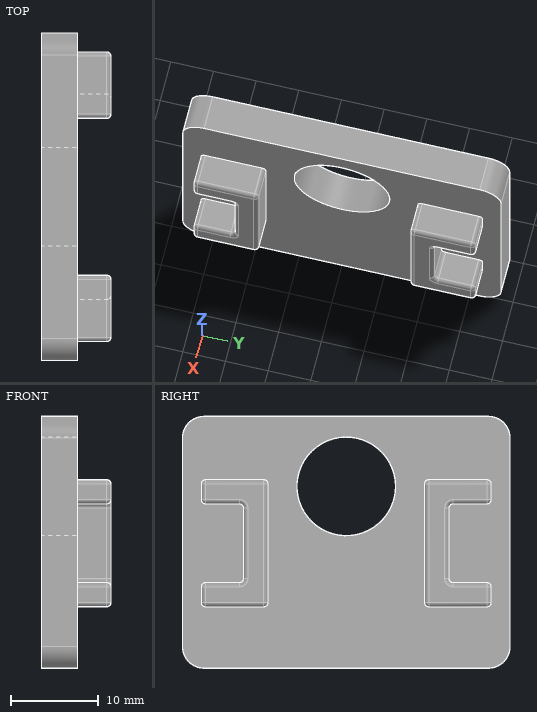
import cadquery as cq

plate_thickness = 4.1
plate_width = 37.3
plate_height = 28.7
plate_corner_radius = 2.5

hole_diameter = 11.2
hole_drop = 8.0

total_depth = 7.9
foot_projection = total_depth - plate_thickness
foot_width = 7.57
foot_height = 14.47
foot_wall = 2.75
foot_inset = 2.15
foot_edge_radius = 0.5
feet_drop = 0.1


def make_plate():
    """Rounded slab with the through-hole, centred on Y and Z."""
    slab = (
        cq.Workplane("YZ")
        .rect(plate_width, plate_height)
        .extrude(plate_thickness)
        .edges("|X")
        .fillet(plate_corner_radius)
    )
    hole = (
        cq.Workplane("YZ")
        .center(0, plate_height / 2 - hole_drop)
        .circle(hole_diameter / 2)
        .extrude(plate_thickness)
    )
    return slab.cut(hole)


def make_foot():
    """C-shaped foot on the -Y side, with its corners along X and its outer rim rounded."""
    tip = foot_inset - plate_width / 2
    back = tip + foot_width
    web_face = back - foot_wall
    outer = foot_height / 2
    inner = outer - foot_wall
    outline = [
        (tip, outer),
        (back, outer),
        (back, -outer),
        (tip, -outer),
        (tip, -inner),
        (web_face, -inner),
        (web_face, inner),
        (tip, inner),
    ]
    return (
        cq.Workplane("YZ", origin=(plate_thickness, 0, 0))
        .polyline(outline)
        .close()
        .extrude(foot_projection)
        .edges("|X or >X")
        .fillet(foot_edge_radius)
    )


foot = make_foot()
feet = foot.union(foot.mirror("XZ")).translate((0, 0, -feet_drop))
result = make_plate().union(feet)